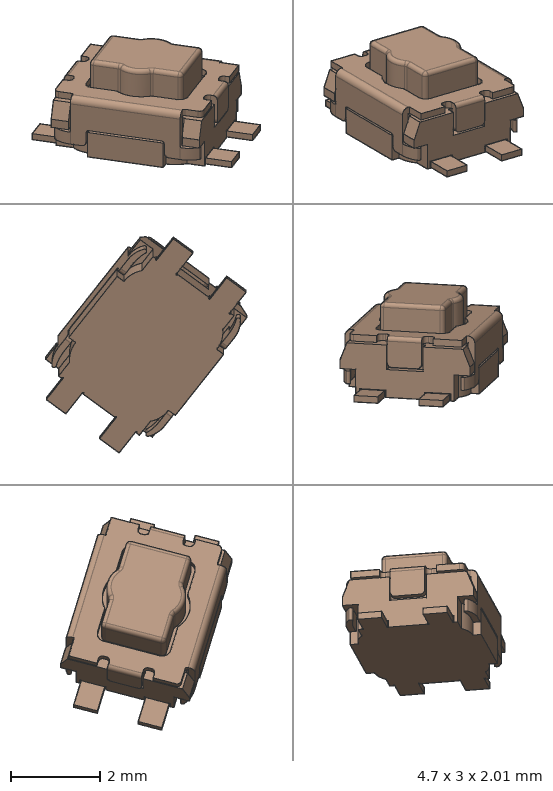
import cadquery as cq
import math

BASE_LENGTH = 3.495
BASE_WIDTH = 3.0
BASE_HEIGHT = 1.21
BEVEL_DEPTH = 0.16
BEVEL_START = 0.81
WALL_LENGTH = 2.68
WALL_SETBACK = 0.195
PAD_LENGTH = 1.785
UNDERCUT_HEIGHT = 0.605
UNDERCUT_DEPTH = 0.36

SPAN = 4.7
TERMINAL_WIDTH = 0.55
TERMINAL_PITCH = 1.5
TERMINAL_THICKNESS = 0.15
TERMINAL_GAP = 0.03

BUTTON_LENGTH = 2.19
BUTTON_WIDTH = 1.5
BUTTON_TOP = 2.01
BUTTON_FILLET = 0.1
BULGE_RADIUS = 0.55
BULGE_REACH = 0.9

SHEET = 0.155
COVER_TOP = 1.41
COVER_UNDERSIDE = COVER_TOP - SHEET
BUTTON_GAP = 0.1
SKIRT_LENGTH = 2.59
SKIRT_BOTTOM = 0.26
ARCH_LENGTH = 1.842
ARCH_TOP = 0.655
ARCH_FILLET = 0.07
LEG_FILLET = 0.11
FRONT_RELIEF = 0.215
BACK_RELIEF = 0.19
RELIEF_FILLET = 0.04
PLATE_CORNER_FILLET = 0.1

TAB_SPAN = 3.61
TAB_WIDTH = 0.79
TAB_BOTTOM = 0.715
TAB_FILLET = 0.1
NOTCH_REACH = 1.54
NOTCH_WIDTH = 0.26
NOTCH_FILLET = 0.1
TAB_POCKET_WIDTH = 0.845
TAB_POCKET_BOTTOM = 0.645
TAB_POCKET_FLOOR = 1.55

EAR_TOP = 0.55
EAR_RADIUS = 0.66
EAR_ANGLE = math.radians(38)
EAR_TIP = 0.1

SIDES = (-1, 1)
PICK_MARGIN = 0.005


def block(x_range, y_range, z_range):
    """Box between two limits on each axis, given in any order."""
    low, high = zip(*(sorted(limits) for limits in (x_range, y_range, z_range)))
    lengths = [b - a for a, b in zip(low, high)]
    return cq.Workplane("XY").box(*lengths, centered=False).translate(low)


def upright_edges_near(x_range, y_range):
    """Selector for edges whose centre lies inside the given plan limits."""
    return cq.selectors.BoxSelector(
        (x_range[0], y_range[0], 0), (x_range[1], y_range[1], BUTTON_TOP)
    )


def on_both_sides(shape, plane):
    """The shape together with its mirror image."""
    return shape.union(shape.mirror(plane))


def button_prism(margin, bottom, top):
    """Rectangle with a round bulge on each long side, grown outwards by a margin."""
    height = top - bottom
    plane = cq.Workplane("XY").workplane(offset=bottom)
    bar = plane.rect(BUTTON_LENGTH + 2 * margin, BUTTON_WIDTH + 2 * margin).extrude(height)
    bar = bar.edges("|Z").fillet(BUTTON_FILLET + margin)
    bulge_centres = [(0, side * (BULGE_REACH - BULGE_RADIUS)) for side in SIDES]
    bulges = plane.pushPoints(bulge_centres).circle(BULGE_RADIUS + margin).extrude(height)
    return bar.union(bulges)


def make_button():
    """Button with rounded top rim and hollow fillets where the bulges meet the long sides."""
    button = button_prism(0, BASE_HEIGHT, BUTTON_TOP)
    reach = BULGE_RADIUS
    inner_corners = upright_edges_near((-reach, reach), (-BUTTON_WIDTH, BUTTON_WIDTH))
    button = button.edges("|Z").edges(inner_corners).fillet(BUTTON_FILLET)
    return button.faces(">Z").edges().fillet(BUTTON_FILLET)


def undercut():
    """Cut under one corner of the base, from the pad round to the end face."""
    pad_end = PAD_LENGTH / 2
    wall_end = WALL_LENGTH / 2
    block_end = BASE_LENGTH / 2
    outside = BASE_WIDTH / 2
    start = outside - WALL_SETBACK
    end = outside - UNDERCUT_DEPTH
    run = wall_end - pad_end
    drop = start - end
    radius = (run**2 + drop**2) / (2 * drop)
    half_angle = math.atan2(drop, run)
    middle = (pad_end + radius * math.sin(half_angle), start - radius * (1 - math.cos(half_angle)))
    return (
        cq.Workplane("XY")
        .moveTo(pad_end, outside)
        .lineTo(pad_end, start)
        .threePointArc(middle, (wall_end, end))
        .lineTo(block_end, end)
        .lineTo(block_end, outside)
        .close()
        .extrude(UNDERCUT_HEIGHT)
    )


def bevel():
    """Wedge cut from the +Y long top edge of the base."""
    outside = BASE_WIDTH / 2
    return (
        cq.Workplane("YZ")
        .polyline([(outside, BEVEL_START), (outside, BASE_HEIGHT), (outside - BEVEL_DEPTH, BASE_HEIGHT)])
        .close()
        .extrude(BASE_LENGTH / 2, both=True)
    )


def make_base():
    """Moulded block with its four terminals and the button standing on it."""
    half_length = BASE_LENGTH / 2
    half_width = BASE_WIDTH / 2
    base = block((-half_length, half_length), (-half_width, half_width), (0, BASE_HEIGHT))
    wall_cut = block(
        (-WALL_LENGTH / 2, WALL_LENGTH / 2),
        (half_width - WALL_SETBACK, half_width),
        (UNDERCUT_HEIGHT, BASE_HEIGHT),
    )
    side_cuts = wall_cut.union(bevel()).union(on_both_sides(undercut(), "YZ"))
    base = base.cut(on_both_sides(side_cuts, "XZ"))

    for end in SIDES:
        base = base.cut(block(
            (end * TAB_POCKET_FLOOR, end * half_length),
            (-TAB_POCKET_WIDTH / 2, TAB_POCKET_WIDTH / 2),
            (TAB_POCKET_BOTTOM, BASE_HEIGHT),
        ))
        for side in SIDES:
            base = add_terminal(base, end, side)
    return base.union(make_button())


def add_terminal(base, end, side):
    """Cut a shallow notch in the end face and let a terminal stick out of it."""
    root = end * (BASE_LENGTH / 2 - TERMINAL_GAP)
    centre = side * TERMINAL_PITCH / 2
    half_width = TERMINAL_WIDTH / 2
    half_notch = half_width + TERMINAL_GAP
    notch = block(
        (root, end * BASE_LENGTH / 2),
        (centre - half_notch, centre + half_notch),
        (0, TERMINAL_THICKNESS + TERMINAL_GAP / 2),
    )
    terminal = block(
        (root, end * SPAN / 2), (centre - half_width, centre + half_width), (0, TERMINAL_THICKNESS)
    )
    return base.cut(notch).union(terminal)


def cover_plate():
    """Top sheet with cut-back corners, side notches next to the tabs and the button opening."""
    half_length = BASE_LENGTH / 2
    front = -BASE_WIDTH / 2 + FRONT_RELIEF
    back = BASE_WIDTH / 2 - BACK_RELIEF
    plate = block((-half_length, half_length), (front, back), (COVER_UNDERSIDE, COVER_TOP))
    plate = plate.edges("|Z and <Y").fillet(PLATE_CORNER_FILLET)
    neck_end = SKIRT_LENGTH / 2
    neck_reach = BASE_WIDTH / 2 - SHEET
    plate = plate.union(block(
        (-neck_end, neck_end), (-neck_reach, neck_reach), (COVER_UNDERSIDE, COVER_TOP)
    ))
    front_corners = upright_edges_near(
        (-neck_end - PICK_MARGIN, neck_end + PICK_MARGIN), (front - PICK_MARGIN, front + PICK_MARGIN)
    )
    plate = plate.edges("|Z").edges(front_corners).fillet(RELIEF_FILLET)
    for end in SIDES:
        for side in SIDES:
            middle = side * (TAB_WIDTH + NOTCH_WIDTH) / 2
            plate = plate.cut(side_notch(end, middle))
        plate = plate.cut(block(
            (end * (TAB_SPAN / 2 - SHEET), end * half_length),
            (-TAB_WIDTH / 2, TAB_WIDTH / 2),
            (COVER_UNDERSIDE, COVER_TOP),
        ))
    opening = button_prism(BUTTON_GAP, COVER_UNDERSIDE, COVER_TOP)
    return plate.cut(opening)


def side_notch(end, middle):
    """Slot with rounded blind corners running in from an end edge of the plate."""
    slot = block(
        (end * NOTCH_REACH, end * BASE_LENGTH / 2),
        (middle - NOTCH_WIDTH / 2, middle + NOTCH_WIDTH / 2),
        (COVER_UNDERSIDE, COVER_TOP),
    )
    blind_end = "<X" if end > 0 else ">X"
    return slot.edges("|Z").edges(blind_end).fillet(NOTCH_FILLET)


def end_tab():
    """Tab bent down over the +X end face of the base."""
    outside = TAB_SPAN / 2
    tab = block(
        (outside - SHEET, outside), (-TAB_WIDTH / 2, TAB_WIDTH / 2), (TAB_BOTTOM, COVER_TOP)
    )
    tab = tab.faces("<Z").edges("|X").fillet(TAB_FILLET)
    return tab.edges(">X and >Z").fillet(TAB_FILLET)


def skirt_half():
    """+X half of the +Y skirt: an upright sheet whose end curls into an ear."""
    start = SKIRT_LENGTH / 2
    outside = BASE_WIDTH / 2
    inside = outside - SHEET
    bend_centre = outside - EAR_RADIUS
    tip_round = EAR_TIP / 2
    sine = math.sin(EAR_ANGLE)
    cosine = math.cos(EAR_ANGLE)

    def on_bend(radius, angle):
        return (start + radius * math.sin(angle), bend_centre + radius * math.cos(angle))

    tip_x, tip_y = on_bend(EAR_RADIUS - tip_round, EAR_ANGLE)
    tip = (tip_x + tip_round * cosine, tip_y - tip_round * sine)
    sheet = (
        cq.Workplane("XY")
        .workplane(offset=SKIRT_BOTTOM)
        .moveTo(0, inside)
        .lineTo(start, inside)
        .tangentArcPoint(on_bend(EAR_RADIUS - EAR_TIP, EAR_ANGLE), relative=False)
        .threePointArc(tip, on_bend(EAR_RADIUS, EAR_ANGLE))
        .threePointArc(on_bend(EAR_RADIUS, EAR_ANGLE / 2), (start, outside))
        .lineTo(0, outside)
        .close()
        .extrude(COVER_UNDERSIDE - SKIRT_BOTTOM)
    )

    above_ear = block((start, SPAN / 2), (0, BASE_WIDTH), (EAR_TOP, COVER_TOP))
    sheet = sheet.cut(above_ear.edges("<X and <Z").fillet(RELIEF_FILLET))

    arch_end = ARCH_LENGTH / 2
    arch = block((-arch_end, arch_end), (0, BASE_WIDTH), (0, ARCH_TOP))
    sheet = sheet.cut(arch.edges(">X and >Z").fillet(ARCH_FILLET))
    leg_corner = cq.selectors.NearestToPointSelector((arch_end, outside - SHEET / 2, SKIRT_BOTTOM))
    return sheet.edges("|Y").edges(leg_corner).fillet(LEG_FILLET)


def skirt():
    """Whole +Y skirt, hung from the plate by a rounded bend."""
    bend_axis = BASE_WIDTH / 2 - SHEET
    bend = (
        cq.Workplane("YZ")
        .moveTo(bend_axis, COVER_UNDERSIDE)
        .lineTo(bend_axis + SHEET, COVER_UNDERSIDE)
        .radiusArc((bend_axis, COVER_TOP), -SHEET)
        .close()
        .extrude(SKIRT_LENGTH / 2, both=True)
    )
    return on_both_sides(skirt_half(), "YZ").union(bend)


def make_cover():
    """Folded sheet-metal cover around the base."""
    skirts = on_both_sides(skirt(), "XZ")
    tabs = on_both_sides(end_tab(), "YZ")
    return cover_plate().union(skirts).union(tabs)


base = make_base()
cover = make_cover()
result = cq.Compound.makeCompound([base.solids().val(), cover.solids().val()])